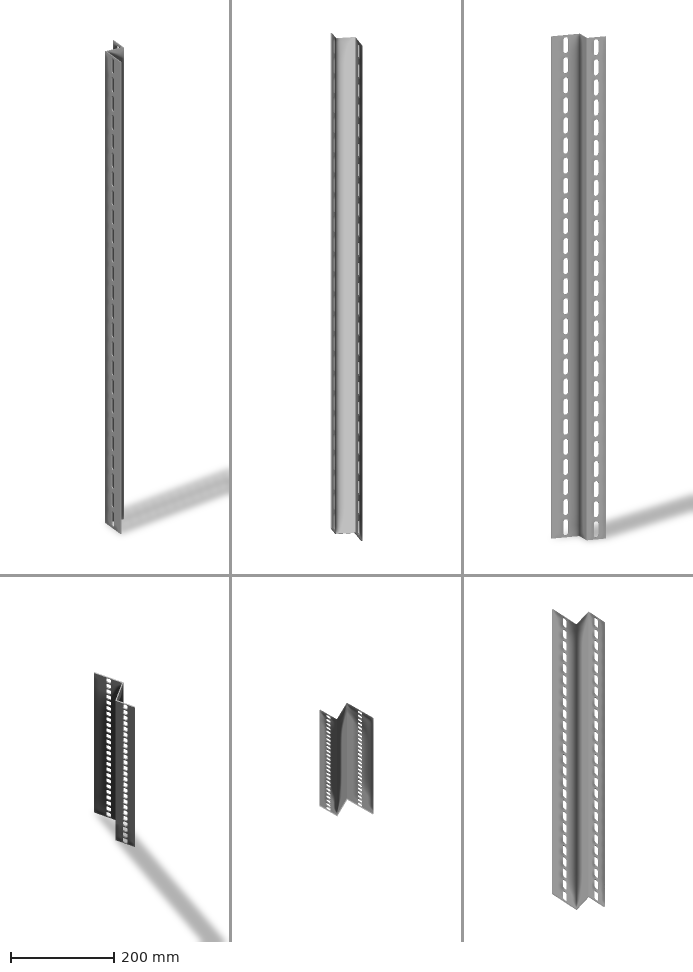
import cadquery as cq

length = 1000.0
depth = 40.0
thickness = 2.0
back_flange = 40.0
front_flange = 60.0

slot_count = 25
slot_length = 32.0
slot_width = 10.0

width = back_flange + front_flange - thickness
web_left = back_flange - thickness
web_right = back_flange
slot_pitch = length / slot_count
back_row_x = back_flange / 2
front_row_x = web_left + front_flange / 2


def z_profile():
    """Back flange, web and front flange as one extruded outline."""
    outline = [
        (0, depth),
        (web_right, depth),
        (web_right, thickness),
        (width, thickness),
        (width, 0),
        (web_left, 0),
        (web_left, depth - thickness),
        (0, depth - thickness),
    ]
    return cq.Workplane("XY").polyline(outline).close().extrude(length)


def slot_row(row_x, flange_face_y):
    """Evenly spaced upright slots through the flange whose front face is at flange_face_y."""
    return (
        cq.Workplane("XZ", origin=(row_x, flange_face_y, length / 2))
        .rarray(slot_pitch, slot_pitch, 1, slot_count)
        .slot2D(slot_length, slot_width, 90)
        .extrude(-thickness)
    )


result = (
    z_profile()
    .cut(slot_row(back_row_x, depth - thickness))
    .cut(slot_row(front_row_x, 0))
)